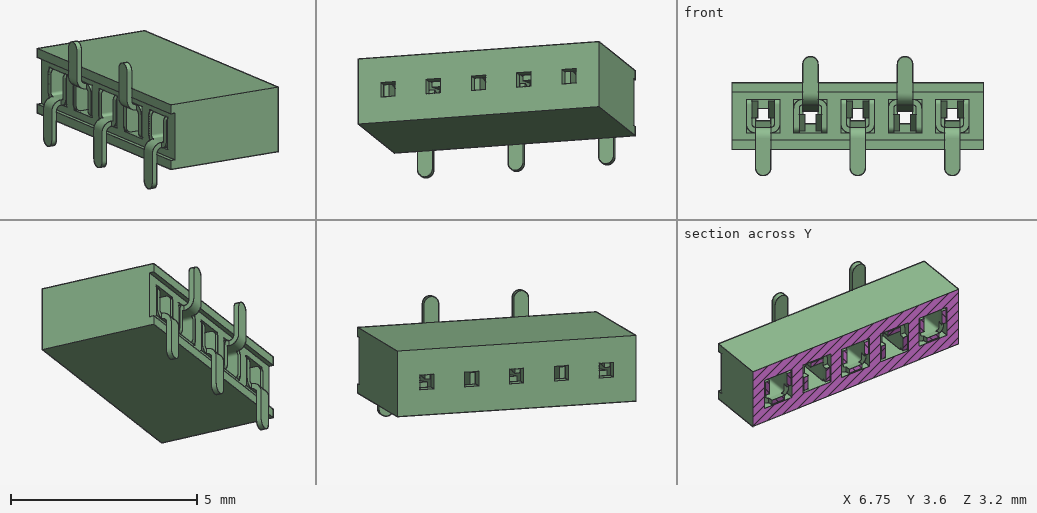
import cadquery as cq


CONTACT_COUNT = 5
PITCH = 1.27

HOUSING_LENGTH = 6.75
HOUSING_HEIGHT = 1.8
HOUSING_DEPTH = 3.4
CHANNEL_HEIGHT = 1.295
CHANNEL_DEPTH = 0.13
CAVITY_SIZE = 0.9
MATING_WALL = 0.27
MATING_HOLE = 0.4

SHEET = 0.15
SLEEVE_OUTER_RADIUS = 0.235
SLEEVE_INNER_RADIUS = SLEEVE_OUTER_RADIUS - SHEET
SLEEVE_TIP_RADIUS = SHEET
SLEEVE_LENGTH = 1.35

LEAD_WIDTH = 0.42
LEAD_REACH = 1.6
LEAD_FACE_Y = -3.6
BEND_OUTER_RADIUS = 2 * SHEET
BEND_INNER_RADIUS = BEND_OUTER_RADIUS - SHEET

SPRING_LENGTH = 1.35
SIDE_SPRING_HEIGHT = 0.445
SIDE_SPRING_TOP = 0.4
SIDE_SPRING_RISE = 0.155
BASE_SPRING_RISE = 0.175

HALF_CAVITY = CAVITY_SIZE / 2
CAVITY_END_Y = -MATING_WALL
CHANNEL_FLOOR_Y = -HOUSING_DEPTH + CHANNEL_DEPTH
SLEEVE_FRONT_Y = LEAD_FACE_Y + BEND_OUTER_RADIUS
SLEEVE_BACK_Y = SLEEVE_FRONT_Y + SLEEVE_LENGTH
CONTACT_XS = [(i - (CONTACT_COUNT - 1) / 2) * PITCH for i in range(CONTACT_COUNT)]


def box_between(x_size, y_start, y_end, z_size):
    """A block centred on X and Z that spans y_start to y_end."""
    block = cq.Workplane("XY").box(x_size, y_end - y_start, z_size)
    return block.translate((0, (y_start + y_end) / 2, 0))


def make_housing():
    """Block with a channel along its solder side and a stepped passage for each contact."""
    housing = box_between(HOUSING_LENGTH, -HOUSING_DEPTH, 0, HOUSING_HEIGHT)
    housing = housing.cut(box_between(HOUSING_LENGTH, -HOUSING_DEPTH, CHANNEL_FLOOR_Y, CHANNEL_HEIGHT))
    cavity = box_between(CAVITY_SIZE, CHANNEL_FLOOR_Y, CAVITY_END_Y, CAVITY_SIZE)
    mating_hole = box_between(MATING_HOLE, CAVITY_END_Y, 0, MATING_HOLE)
    for x in CONTACT_XS:
        housing = housing.cut(cavity.translate((x, 0, 0)))
        housing = housing.cut(mating_hole.translate((x, 0, 0)))
    return housing


def make_sleeve():
    """U-shaped sleeve, open at the top, with rounded upper front corners on its walls."""
    sleeve = box_between(CAVITY_SIZE, SLEEVE_FRONT_Y, SLEEVE_BACK_Y, CAVITY_SIZE)
    sleeve = sleeve.edges("|Y and <Z").fillet(SLEEVE_OUTER_RADIUS)
    inside = box_between(CAVITY_SIZE - 2 * SHEET, SLEEVE_FRONT_Y, SLEEVE_BACK_Y, CAVITY_SIZE)
    inside = inside.edges("|Y and <Z").fillet(SLEEVE_INNER_RADIUS)
    sleeve = sleeve.cut(inside.translate((0, 0, SHEET)))
    return sleeve.edges("|X and >Z and <Y").fillet(SLEEVE_TIP_RADIUS)


def make_lead():
    """Solder lead that curves down from the sleeve base and ends in a full round."""
    bend_z = -HALF_CAVITY + SHEET - BEND_OUTER_RADIUS
    lead_inner_y = LEAD_FACE_Y + SHEET
    bent_strip = (
        cq.Workplane("YZ", origin=(-LEAD_WIDTH / 2, 0, 0))
        .moveTo(SLEEVE_FRONT_Y, bend_z + BEND_OUTER_RADIUS)
        .radiusArc((LEAD_FACE_Y, bend_z), -BEND_OUTER_RADIUS)
        .lineTo(LEAD_FACE_Y, -LEAD_REACH)
        .lineTo(lead_inner_y, -LEAD_REACH)
        .lineTo(lead_inner_y, bend_z)
        .radiusArc((SLEEVE_FRONT_Y, bend_z + BEND_INNER_RADIUS), BEND_INNER_RADIUS)
        .close()
        .extrude(LEAD_WIDTH)
    )
    half_width = LEAD_WIDTH / 2
    tip_start_z = -LEAD_REACH + half_width
    round_ended_outline = (
        cq.Workplane("XZ", origin=(0, LEAD_FACE_Y, 0))
        .moveTo(-half_width, 0)
        .lineTo(-half_width, tip_start_z)
        .threePointArc((0, -LEAD_REACH), (half_width, tip_start_z))
        .lineTo(half_width, 0)
        .close()
        .extrude(LEAD_FACE_Y - SLEEVE_FRONT_Y)
    )
    return bent_strip.intersect(round_ended_outline)


def make_spring(plane, outer_face, rise, width):
    """Straight sheet spring that leans inward by rise, starting at the back of the sleeve."""
    return (
        cq.Workplane(plane)
        .moveTo(outer_face, SLEEVE_BACK_Y)
        .lineTo(outer_face + SHEET, SLEEVE_BACK_Y)
        .lineTo(outer_face + SHEET + rise, SLEEVE_BACK_Y + SPRING_LENGTH)
        .lineTo(outer_face + rise, SLEEVE_BACK_Y + SPRING_LENGTH)
        .close()
        .extrude(width)
    )


def make_contact():
    """One contact with its base and lead at the bottom, centred on X = 0."""
    left_spring = make_spring("XY", -HALF_CAVITY, SIDE_SPRING_RISE, SIDE_SPRING_HEIGHT)
    left_spring = left_spring.translate((0, 0, SIDE_SPRING_TOP - SIDE_SPRING_HEIGHT))
    right_spring = left_spring.mirror("YZ")
    base_spring = make_spring("ZY", -HALF_CAVITY, BASE_SPRING_RISE, LEAD_WIDTH)
    base_spring = base_spring.translate((LEAD_WIDTH / 2, 0, 0))
    contact = make_sleeve().union(make_lead())
    return contact.union(left_spring).union(right_spring).union(base_spring)


def make_contacts():
    """The row of contacts, with every second one turned so that its lead points up."""
    contact = make_contact()
    contacts = []
    for index, x in enumerate(CONTACT_XS):
        turn = 180 * (index % 2)
        turned = contact.rotate((0, 0, 0), (0, 1, 0), turn)
        contacts.append(turned.translate((x, 0, 0)).val())
    return contacts


housing = make_housing()
contacts = make_contacts()
result = cq.Compound.makeCompound([housing.val(), *contacts])